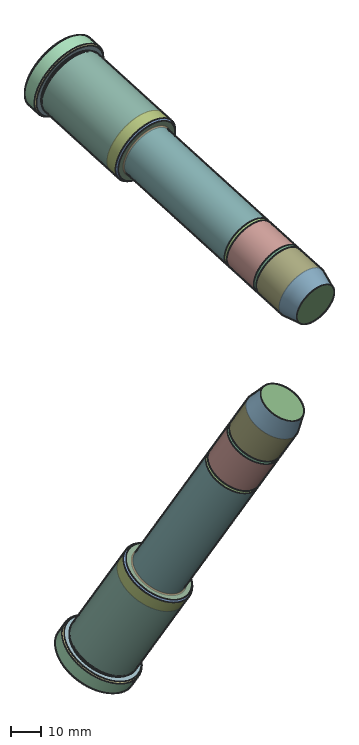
import cadquery as cq
import math

total_length = 131.0
head_diameter = 30.0
head_length = 6.0
head_chamfer = 0.5

body_diameter = 26.0
body_end = 45.0
body_chamfer = 0.7
fit_length = 5.1

undercut_width = 0.8
undercut_depth = 0.4

shank_diameter = 20.0
root_fillet = 0.4
groove_width = 1.2
groove_depth = 0.4
first_groove_x = 97.0
groove_spacing = 14.9
groove_count = 2

tip_length = 7.0
tip_angle = 15.0

head_radius = head_diameter / 2
body_radius = body_diameter / 2
shank_radius = shank_diameter / 2
tip_radius = shank_radius - tip_length * math.tan(math.radians(tip_angle))


def head_points():
    """Head with both rims chamfered."""
    rim_radius = head_radius - head_chamfer
    return [
        (0, rim_radius),
        (head_chamfer, head_radius),
        (head_length - head_chamfer, head_radius),
        (head_length, rim_radius),
    ]


def body_points():
    """Undercut behind the head, then the body with a chamfered front rim."""
    undercut_radius = body_radius - undercut_depth
    undercut_end = head_length + undercut_width
    return [
        (head_length, undercut_radius),
        (undercut_end, undercut_radius),
        (undercut_end, body_radius),
        (body_end - fit_length, body_radius),
        (body_end - body_chamfer, body_radius),
        (body_end, body_radius - body_chamfer),
    ]


def add_groove(outline, center_x):
    """Extend the outline along the shank and through one round-bottomed groove."""
    start = (center_x - groove_width / 2, shank_radius)
    bottom = (center_x, shank_radius - groove_depth)
    end = (center_x + groove_width / 2, shank_radius)
    return outline.lineTo(*start).threePointArc(bottom, end)


outline = cq.Workplane("XY").moveTo(0, 0)
for point in head_points() + body_points():
    outline = outline.lineTo(*point)

outline = outline.lineTo(body_end, shank_radius + root_fillet)
outline = outline.radiusArc((body_end + root_fillet, shank_radius), -root_fillet)

for index in range(groove_count):
    outline = add_groove(outline, first_groove_x + index * groove_spacing)
outline = outline.lineTo(total_length - tip_length, shank_radius)
outline = outline.lineTo(total_length, tip_radius).lineTo(total_length, 0)

result = outline.close().revolve(360, (0, 0, 0), (1, 0, 0), clean=False)